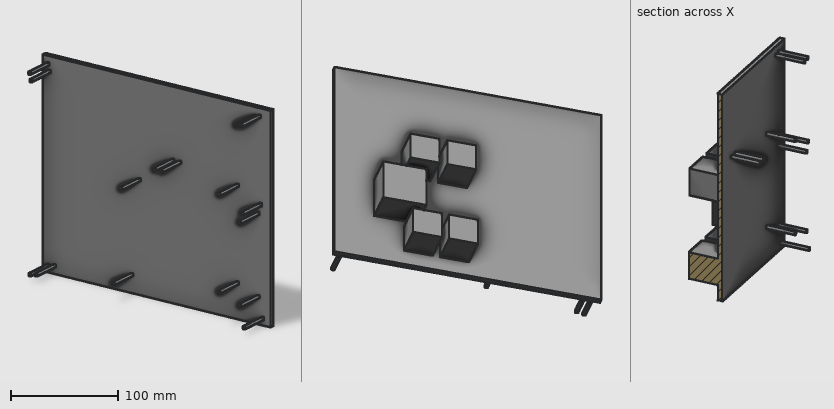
import cadquery as cq

PLATE_WIDTH = 259.71
PLATE_THICKNESS = 5.0
PLATE_HEIGHT = 215.9

PIN_DIAMETER = 3.5
PIN_LENGTH = 30.0
PIN_CENTRES = [
    (6.3, 207.8),
    (7.8, 200.7),
    (241.8, 206.7),
    (247.5, 207.8),
    (110.4, 115.0),
    (148.7, 142.5),
    (156.5, 142.5),
    (222.3, 133.5),
    (248.7, 120.1),
    (245.9, 110.7),
    (222.3, 36.2),
    (246.1, 27.8),
    (6.5, 7.0),
    (13.7, 8.4),
    (101.8, 18.5),
    (251.0, 7.0),
]

BLOCK_DEPTH = 30.0
SMALL_BLOCK_SIZE = 28.0
LARGE_BLOCK_SIZE = 42.0
UPPER_ROW_Z = 102.2
LOWER_ROW_Z = 15.7
SMALL_BLOCK_CORNERS = [
    (131.0, UPPER_ROW_Z),
    (166.8, UPPER_ROW_Z),
    (129.2, LOWER_ROW_Z),
    (164.3, LOWER_ROW_Z),
]
LARGE_BLOCK_CORNER = (179.4, 50.0)


def make_plate():
    return cq.Workplane("XY").box(PLATE_WIDTH, PLATE_THICKNESS, PLATE_HEIGHT, centered=False)


def make_pins():
    return cq.Workplane("XZ").pushPoints(PIN_CENTRES).circle(PIN_DIAMETER / 2).extrude(PIN_LENGTH)


def make_block(corner, size):
    x, z = corner
    block = cq.Workplane("XY").box(size, BLOCK_DEPTH, size, centered=False)
    return block.translate((x, PLATE_THICKNESS, z))


result = make_plate().union(make_pins())
for small_corner in SMALL_BLOCK_CORNERS:
    result = result.union(make_block(small_corner, SMALL_BLOCK_SIZE))
result = result.union(make_block(LARGE_BLOCK_CORNER, LARGE_BLOCK_SIZE))